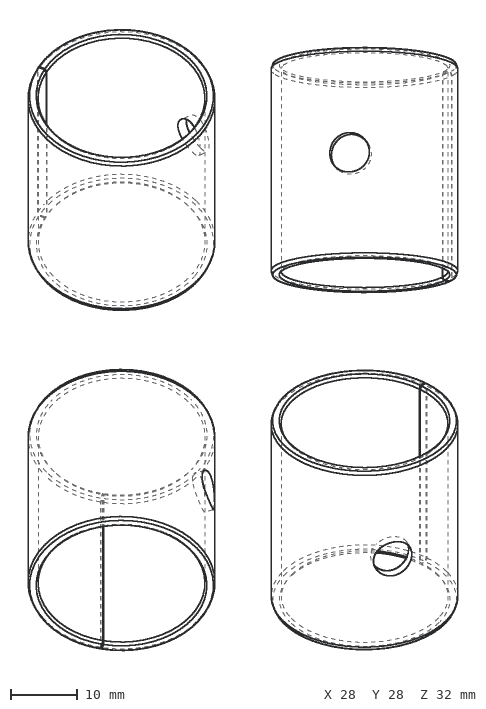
import cadquery as cq

length = 32.0
outer_diameter = 28.0
wall = 1.5
inner_diameter = outer_diameter - 2 * wall

outer_chamfer_height = 0.6
outer_chamfer_depth = 0.22
inner_chamfer_height = 0.5
inner_chamfer_depth = 0.3

split_width = 0.2
oil_hole_diameter = 6.0
oil_hole_height = length / 2
oil_hole_angle = 59.0


def bush_body():
    """Revolve the wall section, with chamfers on all four rims."""
    inner = inner_diameter / 2
    outer = outer_diameter / 2
    section = [
        (inner + inner_chamfer_depth, 0),
        (outer - outer_chamfer_depth, 0),
        (outer, outer_chamfer_height),
        (outer, length - outer_chamfer_height),
        (outer - outer_chamfer_depth, length),
        (inner + inner_chamfer_depth, length),
        (inner, length - inner_chamfer_height),
        (inner, inner_chamfer_height),
    ]
    return cq.Workplane("XZ").polyline(section).close().revolve(360, (0, 0), (0, 1))


def split_cutter():
    """Thin full-height slab that opens the wall on the -X side, with one face on the XZ plane."""
    return cq.Workplane("XY").box(
        outer_diameter, split_width, length, centered=False
    ).translate((-outer_diameter, 0, 0))


def oil_hole_cutter():
    """Radial cylinder that passes through one side of the wall only."""
    return (
        cq.Workplane("YZ")
        .center(0, oil_hole_height)
        .circle(oil_hole_diameter / 2)
        .extrude(outer_diameter)
        .rotate((0, 0, 0), (0, 0, 1), oil_hole_angle)
    )


result = bush_body().cut(split_cutter()).cut(oil_hole_cutter())